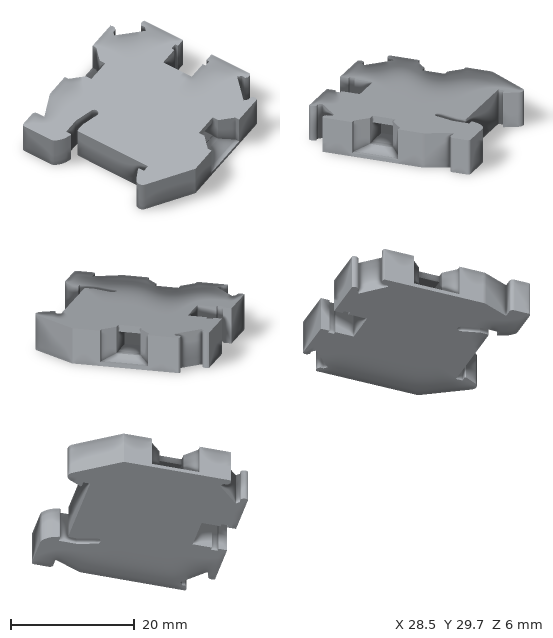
import cadquery as cq
import math

width = 28.5
height = 29.7
thickness = 6.0
side = width / 2

slot_half_width = 2.75
slot_floor = 23.95
notch_half_width = 3.3
notch_bottom = 27.15
notch_top = 28.22

seat_upper = (8.88, 28.0)
seat_lower = (12.55, 24.35)
hook_thickness = 1.15
hook_chamfer = 0.53
side_hook_top = 25.87
top_hook_start = (10.28, height)
top_hook_nose = (10.45, 29.25)
top_hook_end = (10.05, 28.48)
top_hook_lip_x = 9.95
side_hook_start = (13.1, 25.42)
side_hook_crest = (13.75, side_hook_top)
side_hook_end = (side, 25.72)

rail_seat = 3.98
rail_lip = 2.82
fixed_foot_wall = 7.57
fixed_lip_tip = 6.53
fixed_toe_x = 8.52
fixed_toe_radius = 2.1 / 2
fixed_side_end = 7.8
spring_slot_left = -7.55
spring_slot_width = 1.35
spring_slot_bend = 5.65
spring_slot_end = (-6.03, 8.7)
spring_foot_top = 3.53
spring_notch_x = -12.27
spring_side_end = 8.1
spring_tip_x = -6.53
spring_curve_top = (-6.68, 2.23)
spring_curve_middle = (-7.28, 0.98)
spring_curve_bottom = (-8.1, 0.18)
spring_heel_middle = (-8.4, 0.048)
spring_heel_x = -8.73

foot_top_radius = 0.6
foot_bottom_radius = 0.45
side_bend_radius = 1.48
lip_radius = 0.18
seat_corner_radius = 0.27

entry_y = 16.5
entry_half_width = 4.0
entry_floor = 0.62
mouth_depth = 0.75
funnel_depth = 2.73
throat_half_width = 2.02
throat_floor = 1.48
throat_depth = 3.8
tunnel_floor = 1.57
tunnel_top = 4.85
tunnel_depth = 7.42


def outer_blank():
    """Plate outline without the centre slot, marker seats and spring slot."""
    toe = (fixed_toe_x, fixed_toe_radius)

    def tangent_point(corner, turn):
        dx = corner[0] - toe[0]
        dy = corner[1] - toe[1]
        angle = math.atan2(dy, dx) + turn * math.acos(fixed_toe_radius / math.hypot(dx, dy))
        return (toe[0] + fixed_toe_radius * math.cos(angle), toe[1] + fixed_toe_radius * math.sin(angle))

    arc_inset = lip_radius * (1 - math.sqrt(0.5))
    fixed_lip_middle = (fixed_lip_tip + arc_inset, rail_lip - arc_inset)
    spring_lip_middle = (spring_tip_x - arc_inset, rail_lip - arc_inset)
    lip = (fixed_lip_tip, rail_lip - lip_radius)
    inner_flank_end = tangent_point(lip, 1)
    outer_flank_end = tangent_point((side, fixed_side_end), -1)
    return (
        cq.Workplane("XY")
        .moveTo(-side, height)
        .lineTo(side, height)
        .lineTo(side, fixed_side_end)
        .lineTo(*outer_flank_end)
        .threePointArc((fixed_toe_x, 0), inner_flank_end)
        .lineTo(*lip)
        .threePointArc(fixed_lip_middle, (fixed_lip_tip + lip_radius, rail_lip))
        .lineTo(fixed_foot_wall, rail_lip)
        .lineTo(fixed_foot_wall, rail_seat)
        .lineTo(spring_slot_left, rail_seat)
        .lineTo(spring_slot_left, rail_lip)
        .lineTo(spring_tip_x - lip_radius, rail_lip)
        .threePointArc(spring_lip_middle, (spring_tip_x, rail_lip - lip_radius))
        .lineTo(*spring_curve_top)
        .threePointArc(spring_curve_middle, spring_curve_bottom)
        .threePointArc(spring_heel_middle, (spring_heel_x, 0))
        .lineTo(-side, 0)
        .lineTo(-side, spring_foot_top)
        .lineTo(spring_notch_x, spring_foot_top)
        .lineTo(-side, spring_side_end)
        .close()
        .extrude(thickness)
    )


def round_edge(body, x, y, radius):
    """Fillet the upright edge at (x, y)."""
    reach = 0.015
    box = cq.selectors.BoxSelector((x - reach, y - reach, -0.3), (x + reach, y + reach, thickness + 0.3))
    return body.edges("|Z").edges(box).fillet(radius)


def centre_slot():
    slot = cq.Workplane("XY").rect(2 * slot_half_width, 2 * (height - slot_floor)).extrude(thickness)
    notch_height = notch_top - notch_bottom
    notches = cq.Workplane("XY").rect(2 * notch_half_width, notch_height).extrude(thickness)
    return slot.translate((0, height, 0)).union(notches.translate((0, notch_bottom + notch_height / 2, 0)))


def marker_seat():
    """Cutter for the right upper corner that leaves a hook at each end of the seat."""
    hook_bottom = height - hook_thickness
    return (
        cq.Workplane("XY")
        .moveTo(*top_hook_start)
        .threePointArc(top_hook_nose, top_hook_end)
        .lineTo(top_hook_lip_x, hook_bottom)
        .lineTo(seat_upper[0] + hook_chamfer, hook_bottom)
        .lineTo(*seat_upper)
        .lineTo(*seat_lower)
        .lineTo(side_hook_start[0], seat_lower[1] + hook_chamfer)
        .lineTo(*side_hook_start)
        .threePointArc(side_hook_crest, side_hook_end)
        .lineTo(side, height)
        .close()
        .extrude(thickness)
    )


def spring_slot():
    """Bent slot with a round end that lets the left foot flex."""
    radius = spring_slot_width / 2
    bottom_x = spring_slot_left + radius
    end_x, end_y = spring_slot_end
    lean = math.atan2(end_x - bottom_x, end_y - spring_slot_bend)
    across = (radius * math.cos(lean), -radius * math.sin(lean))
    along = (radius * math.sin(lean), radius * math.cos(lean))
    bend_shift = radius * math.tan(lean / 2)
    return (
        cq.Workplane("XY")
        .moveTo(spring_slot_left, rail_seat)
        .lineTo(spring_slot_left, spring_slot_bend + bend_shift)
        .lineTo(end_x - across[0], end_y - across[1])
        .threePointArc((end_x + along[0], end_y + along[1]), (end_x + across[0], end_y + across[1]))
        .lineTo(bottom_x + radius, spring_slot_bend - bend_shift)
        .lineTo(bottom_x + radius, rail_seat)
        .close()
        .extrude(thickness)
    )


def entry_block(start, end, half_width, floor, top):
    """Box reaching from one depth to another behind the right side."""
    return cq.Workplane("XY").box(
        end - start, 2 * half_width, top - floor, centered=(False, True, False)
    ).translate((side - end, entry_y, floor))


def wire_entry():
    """Right-hand entry: mouth, funnel, open throat and covered blind tunnel."""
    mouth = entry_block(0, mouth_depth, entry_half_width, entry_floor, thickness)
    mouth_height = thickness - entry_floor
    throat_height = thickness - throat_floor
    funnel = (
        cq.Workplane("YZ", origin=(side - mouth_depth, 0, 0))
        .center(entry_y, entry_floor + mouth_height / 2)
        .rect(2 * entry_half_width, mouth_height)
        .workplane(offset=mouth_depth - funnel_depth)
        .center(0, (throat_floor - entry_floor) / 2)
        .rect(2 * throat_half_width, throat_height)
        .loft(ruled=True)
    )
    throat = entry_block(funnel_depth, throat_depth, throat_half_width, throat_floor, thickness)
    tunnel = entry_block(throat_depth, tunnel_depth, throat_half_width, tunnel_floor, tunnel_top)
    return mouth.union(funnel).union(throat).union(tunnel)


result = outer_blank().cut(centre_slot()).cut(spring_slot())
result = round_edge(result, -side, 0, foot_bottom_radius)
result = round_edge(result, -side, spring_foot_top, foot_top_radius)
result = round_edge(result, -side, spring_side_end, side_bend_radius)
result = round_edge(result, spring_slot_left + spring_slot_width, rail_seat, seat_corner_radius)
for cutter in (marker_seat(), wire_entry()):
    result = result.cut(cutter).cut(cutter.mirror("YZ"))